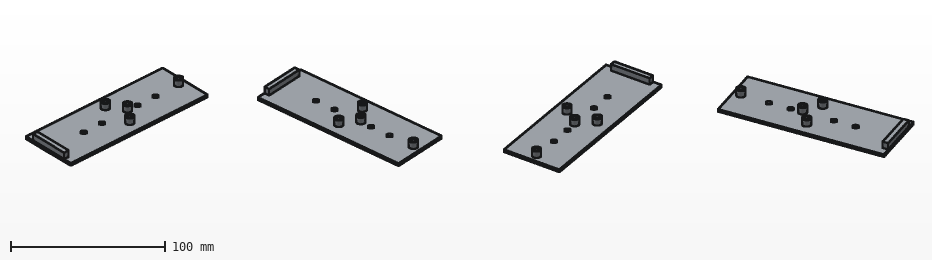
import cadquery as cq

plate_width = 43.0
plate_length = 120.0
total_height = 6.8
plate_thickness = 1.9
raised_height = total_height - plate_thickness

standoff_diameter = 6.0
bore_diameter = 3.1
side_standoff_x = 11.8
side_standoff_y = 0.7
middle_standoff_y = 9.5
end_standoff_y = 54.2
standoff_centers = [
    (0, end_standoff_y),
    (0, middle_standoff_y),
    (-side_standoff_x, side_standoff_y),
    (side_standoff_x, side_standoff_y),
]

mounting_hole_diameter = 4.0
hole_pair_spacing = 15.8
hole_pair_centers_y = [26.0, -21.0]
mounting_hole_centers = [
    (0, pair_y + side * hole_pair_spacing / 2)
    for pair_y in hole_pair_centers_y
    for side in (-1, 1)
]

bar_width = 30.0
bar_depth = 4.0
bar_edge_gap = 0.1


def cylinders(centers, diameter, bottom, height):
    """Upright cylinders of one diameter at the given centres."""
    return cq.Workplane("XY", origin=(0, 0, bottom)).pushPoints(centers).circle(diameter / 2).extrude(height)


plate = cq.Workplane("XY").box(plate_width, plate_length, plate_thickness, centered=(True, True, False))

stop_bar = (
    cq.Workplane("XY")
    .box(bar_width, bar_depth, raised_height, centered=(True, False, False))
    .translate((0, -plate_length / 2 + bar_edge_gap, plate_thickness))
)

standoffs = cylinders(standoff_centers, standoff_diameter, plate_thickness, raised_height)
bores = cylinders(standoff_centers, bore_diameter, 0, total_height)
mounting_holes = cylinders(mounting_hole_centers, mounting_hole_diameter, 0, plate_thickness)

result = plate.union(stop_bar).union(standoffs).cut(bores).cut(mounting_holes)